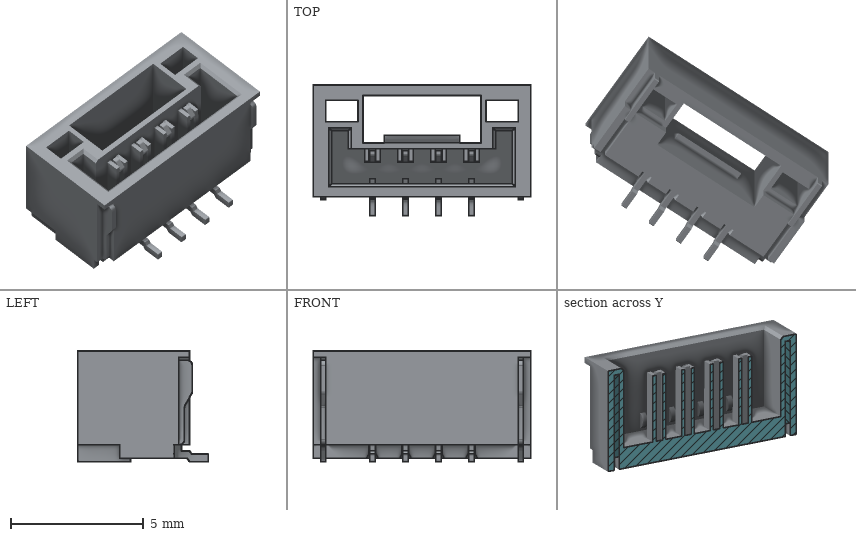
import cadquery as cq


LENGTH = 8.25
DEPTH = 4.24
TOP = 4.2
UNDERSIDE = 0.13
STEP_Z = 0.64
FRONT_STEP = 0.585
REAR_STEP = 1.6

CAVITY_WIDTH = 6.85
CAVITY_FRONT = 0.495
CAVITY_REAR = 1.83
CAVITY_FLOOR = 0.99
WING_WIDTH = 0.635
WING_REAR = 2.51
LEAD_IN = 0.115

LATCH_WIDTH = 4.46
LATCH_DEPTH = 1.79
LATCH_REAR_WALL = 0.405
SIDE_WINDOW_WIDTH = 1.21
SIDE_WINDOW_DEPTH = 0.8
SIDE_WINDOW_REAR_WALL = 0.585

WEDGE_WIDTH = 2.86
WEDGE_DEPTH = 0.29
WEDGE_HEIGHT = 0.63
WEDGE_BASE = 1.98

PIN_COUNT = 4
PIN_ROW_SPAN = 3.75
PITCH = PIN_ROW_SPAN / (PIN_COUNT - 1)
PIN_THICKNESS = 0.215
TAIL_REACH = 0.72
TAIL_THICKNESS = 0.3
TAIL_ROOT_TOP = 0.41
TAIL_BEND = 0.09
TAIL_CORNER = 0.03
STEM_FRONT = 0.3
STEM_REAR = 0.48
BUMP_RADIUS = 0.33
BUMP_REAR = 0.69
BUMP_CENTRE_Z = 1.4
CONTACT_GAP = 0.08
CONTACT_TOP = TOP - 0.46
CONTACT_CREST = 0.255
CONTACT_NOSE = 0.56
CREST_RADIUS = 0.075
NOSE_RADIUS = 0.08

RIB_SPAN = 0.585
RIB_REACH = 0.49
RIB_FOOT_REACH = 0.51
RIB_TOP = TOP - 0.545
PIN_SLOT = 0.26
MOUTH_DEPTH = 0.25
MOUTH_FLARE_WIDTH = 0.43
MOUTH_FLARE_TOP = 0.3

TAB_INSET = 0.29
TAB_THICKNESS = 0.2
TAB_TOP = TOP - 0.355
TAB_FRONT = -0.11
TAB_WAIST = 0.19
TAB_SLOPE_TOP = 2.615
TAB_SLOPE_BOTTOM = 2.11
TAB_HEAD_RADIUS = 0.18
TAB_BEND_RADIUS = 0.165
TAB_HEEL_RADIUS = 0.21
TAB_FOOT_FILLET = 0.19
TAB_FOOT_CORNER = 0.04
FOOT_LENGTH = 2.01
NOTCH_DEPTH = 0.405
NOTCH_TOP = TOP - 0.24

TAB_OUTER_X = LENGTH / 2 - TAB_INSET
TAB_INNER_X = TAB_OUTER_X - TAB_THICKNESS
SIDES = (-1, 1)
PIN_XS = [(i - (PIN_COUNT - 1) / 2) * PITCH for i in range(PIN_COUNT)]


def block(x0, x1, y0, y1, z0, z1):
    """Box between opposite corners; each pair may be given in either order."""
    return (
        cq.Workplane("XY")
        .box(abs(x1 - x0), abs(y1 - y0), z1 - z0, centered=(True, True, False))
        .translate(((x0 + x1) / 2, (y0 + y1) / 2, z0))
    )


def plate(points, x_centre, thickness):
    """Plate with the given (y, z) outline, centred on x_centre."""
    return (
        cq.Workplane("YZ", origin=(x_centre, 0, 0))
        .polyline(points)
        .close()
        .extrude(thickness / 2, both=True)
    )


def round_edge(body, x, y, z, radius):
    """Fillet the edge whose middle is nearest to the point."""
    return body.edges(cq.selectors.NearestToPointSelector((x, y, z))).fillet(radius)



def solder_tab(side):
    x = side * (TAB_OUTER_X + TAB_INNER_X) / 2
    foot_front = DEPTH - FOOT_LENGTH
    plate_rear = DEPTH - SIDE_WINDOW_REAR_WALL
    tab = plate(
        [
            (TAB_FRONT, TAB_TOP),
            (TAB_FRONT, TAB_SLOPE_TOP),
            (TAB_WAIST, TAB_SLOPE_BOTTOM),
            (TAB_WAIST, STEP_Z),
            (foot_front, STEP_Z),
            (foot_front, 0),
            (DEPTH, 0),
            (DEPTH, STEP_Z),
            (plate_rear, STEP_Z),
            (plate_rear, NOTCH_TOP),
            (NOTCH_DEPTH, NOTCH_TOP),
            (NOTCH_DEPTH, TAB_TOP),
        ],
        x,
        TAB_THICKNESS,
    )
    tab = round_edge(tab, x, TAB_FRONT, TAB_TOP, TAB_HEAD_RADIUS)
    tab = round_edge(tab, x, TAB_FRONT, TAB_SLOPE_TOP, TAB_BEND_RADIUS)
    tab = round_edge(tab, x, TAB_WAIST, TAB_SLOPE_BOTTOM, TAB_BEND_RADIUS)
    tab = round_edge(tab, x, TAB_WAIST, STEP_Z, TAB_HEEL_RADIUS)
    tab = round_edge(tab, x, foot_front, STEP_Z, TAB_FOOT_FILLET)
    return round_edge(tab, x, DEPTH, 0, TAB_FOOT_CORNER)



def housing_block():
    half = LENGTH / 2
    body = block(-half, half, 0, DEPTH, UNDERSIDE, TOP)
    body = body.cut(block(-half, half, 0, FRONT_STEP, UNDERSIDE, STEP_Z))
    return body.cut(block(-half, half, DEPTH - REAR_STEP, DEPTH, UNDERSIDE, STEP_Z))


def lead_in(x0, x1, y0, y1):
    """Chamfer cutter that widens a rectangular pocket toward the top face."""
    width = abs(x1 - x0)
    depth = y1 - y0
    return (
        cq.Workplane("XY", origin=((x0 + x1) / 2, (y0 + y1) / 2, TOP - LEAD_IN))
        .rect(width, depth)
        .workplane(offset=LEAD_IN)
        .rect(width + 2 * LEAD_IN, depth + 2 * LEAD_IN)
        .loft(ruled=True)
    )


def plug_cavity():
    half = CAVITY_WIDTH / 2
    cavity = block(-half, half, CAVITY_FRONT, CAVITY_REAR, CAVITY_FLOOR, TOP)
    cavity = cavity.union(lead_in(-half, half, CAVITY_FRONT, CAVITY_REAR - 2 * LEAD_IN))
    for side in SIDES:
        inner = side * (half - WING_WIDTH)
        outer = side * half
        cavity = cavity.union(block(inner, outer, CAVITY_FRONT, WING_REAR, CAVITY_FLOOR, TOP))
        cavity = cavity.union(lead_in(inner, outer, CAVITY_FRONT, WING_REAR))
    return cavity


def latch_opening():
    rear = DEPTH - LATCH_REAR_WALL
    front = rear - LATCH_DEPTH
    half = LATCH_WIDTH / 2
    opening = block(-half, half, front, rear, UNDERSIDE, TOP)
    wedge = plate(
        [
            (front, WEDGE_BASE),
            (front + WEDGE_DEPTH, WEDGE_BASE),
            (front, WEDGE_BASE + WEDGE_HEIGHT),
        ],
        0,
        WEDGE_WIDTH,
    )
    return opening.cut(wedge)


def side_window(side):
    rear = DEPTH - SIDE_WINDOW_REAR_WALL
    inner = side * (TAB_INNER_X - SIDE_WINDOW_WIDTH)
    return block(side * TAB_INNER_X, inner, rear - SIDE_WINDOW_DEPTH, rear, UNDERSIDE, TOP)


def tab_clearance(side):
    """Open front corner around the tab, and the slot below it."""
    inner = side * TAB_INNER_X
    notch = block(inner, side * LENGTH / 2, 0, NOTCH_DEPTH, STEP_Z, NOTCH_TOP)
    slot = block(inner, side * TAB_OUTER_X, FRONT_STEP, DEPTH - REAR_STEP, UNDERSIDE, STEP_Z)
    return notch.union(slot)



def pin_mouth(x):
    """Slot in the lower front face, flared toward the underside."""
    slot = PIN_SLOT / 2
    flare = MOUTH_FLARE_WIDTH / 2
    return (
        cq.Workplane("XZ", origin=(x, FRONT_STEP, 0))
        .polyline(
            [
                (-flare, UNDERSIDE),
                (-slot, MOUTH_FLARE_TOP),
                (-slot, STEP_Z),
                (slot, STEP_Z),
                (slot, MOUTH_FLARE_TOP),
                (flare, UNDERSIDE),
            ]
        )
        .close()
        .extrude(-MOUTH_DEPTH)
    )


def guide_ribs(x):
    front_foot = CAVITY_REAR - RIB_FOOT_REACH
    ribs = plate(
        [
            (CAVITY_REAR, CAVITY_FLOOR),
            (CAVITY_REAR, RIB_TOP),
            (CAVITY_REAR - RIB_REACH, RIB_TOP),
            (front_foot, CAVITY_FLOOR),
        ],
        x,
        RIB_SPAN,
    )
    half_gap = PIN_SLOT / 2
    gap = block(x - half_gap, x + half_gap, front_foot, CAVITY_REAR, CAVITY_FLOOR, RIB_TOP)
    return ribs.cut(gap)


def pin(x):
    contact_rear = CAVITY_REAR - CONTACT_GAP
    crest = CAVITY_REAR - CONTACT_CREST
    nose = CAVITY_REAR - CONTACT_NOSE
    slope = crest - nose
    nose_z = CONTACT_TOP - slope
    body = plate(
        [
            (-TAIL_REACH, 0),
            (0, 0),
            (TAIL_BEND, UNDERSIDE),
            (contact_rear, UNDERSIDE),
            (contact_rear, CONTACT_TOP),
            (crest, CONTACT_TOP),
            (nose, nose_z),
            (crest, nose_z - slope),
            (crest, CAVITY_FLOOR),
            (STEM_REAR, CAVITY_FLOOR),
            (STEM_REAR, BUMP_CENTRE_Z),
            (STEM_FRONT, BUMP_CENTRE_Z),
            (STEM_FRONT, TAIL_ROOT_TOP),
            (0, TAIL_ROOT_TOP),
            (-TAIL_BEND, TAIL_THICKNESS),
            (-TAIL_REACH, TAIL_THICKNESS),
        ],
        x,
        PIN_THICKNESS,
    )
    body = round_edge(body, x, crest, CONTACT_TOP, CREST_RADIUS)
    body = round_edge(body, x, nose, nose_z, NOSE_RADIUS)
    bump = (
        cq.Workplane("YZ", origin=(x, 0, 0))
        .center(BUMP_REAR - BUMP_RADIUS, BUMP_CENTRE_Z)
        .circle(BUMP_RADIUS)
        .extrude(PIN_THICKNESS / 2, both=True)
    )
    body = body.union(bump)
    for z in (0, TAIL_THICKNESS):
        body = round_edge(body, x, -TAIL_REACH, z, TAIL_CORNER)
    return body


tabs = [solder_tab(side) for side in SIDES]

housing = housing_block().cut(plug_cavity()).cut(latch_opening())
for side, tab in zip(SIDES, tabs):
    housing = housing.cut(side_window(side)).cut(tab_clearance(side)).cut(tab)
for x in PIN_XS:
    housing = housing.cut(pin_mouth(x)).union(guide_ribs(x)).union(pin(x))

result = cq.Compound.makeCompound([housing.val(), *[tab.val() for tab in tabs]])